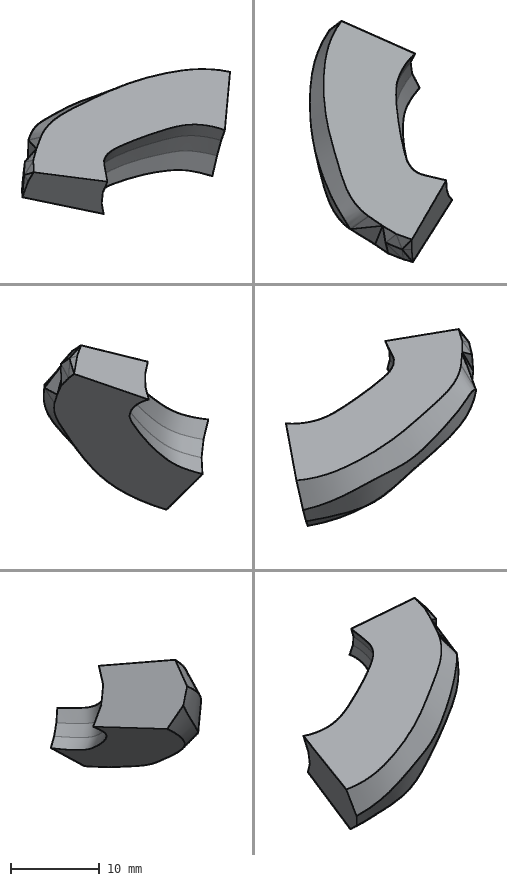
import cadquery as cq
import math


TOP_HEIGHT = 3.95
TOP_SLOPE = -math.tan(math.radians(9.4))
BOTTOM_HEIGHT = -2.27
BOTTOM_SLOPE = -math.tan(math.radians(17.5))

AXIS_X = 14.7
AXIS_Y = -0.5
AXIS_LEAN = 0.28
FAR = math.tan(math.radians(47.1))
NEAR = -math.tan(math.radians(45))

FAR_HOLLOW = 0.77
NEAR_HOLLOW = 0.37
UPPER_RIDGE, LOWER_RIDGE = 1 / 3, 2 / 3


def on_top(points):
    return [cq.Vector(x, y, TOP_HEIGHT + TOP_SLOPE * y) for x, y in points]


def on_bottom(points):
    return [cq.Vector(x, y, BOTTOM_HEIGHT + BOTTOM_SLOPE * y) for x, y in points]


def in_space(points):
    return [cq.Vector(*point) for point in points]


def end_point(end_slope, x, z):
    """Point of an end cut at a given x and z."""
    return cq.Vector(x, AXIS_Y + AXIS_LEAN * z + end_slope * (AXIS_X - x), z)


def end_corner(end_slope, x, height, slope):
    """Corner at a given x where an end cut meets a flat face."""
    y = end_point(end_slope, x, height).y / (1 - AXIS_LEAN * slope)
    return cq.Vector(x, y, height + slope * y)


def top_corner(end_slope, x):
    return end_corner(end_slope, x, TOP_HEIGHT, TOP_SLOPE)


def bottom_corner(end_slope, x):
    return end_corner(end_slope, x, BOTTOM_HEIGHT, BOTTOM_SLOPE)


def hollow_rail(upper_rail, lower_rail, fraction):
    """Rail between two others, pushed away from the axis and so into the wall."""
    rail = []
    for i, (upper, lower) in enumerate(zip(upper_rail, lower_rail)):
        depth = FAR_HOLLOW + (NEAR_HOLLOW - FAR_HOLLOW) * i / (len(upper_rail) - 1)
        point = upper + (lower - upper) * fraction
        axis_point = end_point(FAR, AXIS_X, point.z)
        rail.append(point + (point - axis_point).normalized() * depth)
    return rail


def ruled_wall(edges):
    """Ruled faces joining each edge to the next one below it."""
    return [cq.Face.makeRuledSurface(a, b) for a, b in zip(edges, edges[1:])]


def straight_edges(points):
    return [cq.Edge.makeLine(a, b) for a, b in zip(points, points[1:])]


def flat_face(corners):
    return cq.Face.makeFromWires(cq.Wire.makePolygon(corners, close=True))


bulge_peak = cq.Vector(-6.3, -9.43, 2.9)
top_outer = [
    top_corner(FAR, 0.83),
    *on_top([(-1.35, 12.65), (-3.2, 9.1), (-4.75, 3.5), (-5.3, -2.35), (-5.33, -6.03), (-4.15, -9.43)]),
]
upper_crest = [
    end_point(FAR, -0.45, -1.85),
    *in_space([(-2.97, 12.52, -0.85), (-5.45, 7.45, 0.45), (-6.55, 3.5, 0.83), (-7.13, -1.53, 2.15)]),
    *in_space([(-7.0, -6.12, 3.3), (-6.75, -7.95, 3.67)]),
    bulge_peak,
]
lower_crest = [
    end_point(FAR, -0.3, -3.95),
    *in_space([(-2.75, 11.18, -3.83), (-5.02, 7.65, -3.05), (-6.3, 3.98, -1.38), (-7.15, -1.8, 0.15)]),
    *in_space([(-7.3, -5.9, 1.32)]),
    bulge_peak,
]
bottom_outer = [
    bottom_corner(FAR, 0.85),
    *on_bottom([(-0.95, 11.0), (-3.92, 6.43), (-5.05, 2.17), (-5.63, -4.32), (-5.6, -7.75), (-4.95, -9.92)]),
]

shoulder = cq.Vector(-3.25, -12.75, 4.6)
brow = cq.Vector(-1.75, -14.18, 4.78)
crest_end = end_point(NEAR, -0.7, 4.9)
top_facets = [top_outer[-1], *on_top([(-3.03, -11.15), (-1.93, -12.62)]), top_corner(NEAR, -0.45)]
bottom_facets = [
    bottom_outer[-1],
    *on_bottom([(-4.07, -11.57), (-3.05, -13.23), (-1.75, -14.55)]),
    bottom_corner(NEAR, -0.83),
]

top_inner = [
    top_corner(FAR, 7.35),
    *on_top([(5.9, 7.25), (4.55, 5.85), (3.12, 2.02), (2.33, -2.35), (2.75, -6.03), (3.83, -6.95)]),
    top_corner(NEAR, 5.57),
]
bottom_inner = [
    bottom_corner(FAR, 7.25),
    *on_bottom([(6.25, 5.57), (4.93, 4.23), (3.83, 2.0), (2.63, -4.32), (2.7, -5.97), (3.28, -7.23)]),
    bottom_corner(NEAR, 5.97),
]
inner_rails = [
    top_inner,
    hollow_rail(top_inner, bottom_inner, UPPER_RIDGE),
    hollow_rail(top_inner, bottom_inner, LOWER_RIDGE),
    bottom_inner,
]

outer_rails = [top_outer, upper_crest, lower_crest, bottom_outer]
outer_edges = [cq.Edge.makeSpline(rail) for rail in outer_rails]
inner_edges = [cq.Edge.makeSpline(rail) for rail in inner_rails]

top_start, top_dent, top_shoulder, top_end = top_facets
bottom_start, bottom_dent, bottom_shoulder, bottom_brow, bottom_end = bottom_facets
facets = [
    (bulge_peak, top_start, top_dent),
    (bulge_peak, top_dent, bottom_dent),
    (bulge_peak, bottom_dent, bottom_start),
    (top_dent, bottom_shoulder, bottom_dent),
    (top_dent, shoulder, bottom_shoulder),
    (top_dent, top_shoulder, shoulder),
    (top_shoulder, brow, shoulder),
    (top_shoulder, top_end, brow),
    (top_end, crest_end, brow),
    (shoulder, bottom_brow, bottom_shoulder),
    (shoulder, brow, bottom_brow),
    (brow, bottom_end, bottom_brow),
    (brow, crest_end, bottom_end),
]
walls = ruled_wall(outer_edges) + ruled_wall(inner_edges) + [flat_face(facet) for facet in facets]


def sloping_face(outer_edge, facet_points, inner_edge):
    """Top or bottom face, closed by a straight line along each end cut."""
    far_line = cq.Edge.makeLine(inner_edge.startPoint(), outer_edge.startPoint())
    near_line = cq.Edge.makeLine(facet_points[-1], inner_edge.endPoint())
    edges = [outer_edge, *straight_edges(facet_points), near_line, inner_edge, far_line]
    return cq.Face.makeFromWires(cq.Wire.assembleEdges(edges))


top_face = sloping_face(outer_edges[0], top_facets, inner_edges[0])
bottom_face = sloping_face(outer_edges[-1], bottom_facets, inner_edges[-1])

far_face = flat_face([rail[0] for rail in outer_rails + inner_rails[::-1]])
near_face = flat_face([top_end, crest_end, bottom_end] + [rail[-1] for rail in inner_rails[::-1]])

shell = cq.Shell.makeShell([*walls, top_face, bottom_face, far_face, near_face])
result = cq.Workplane(obj=cq.Solid.makeSolid(shell).fix())